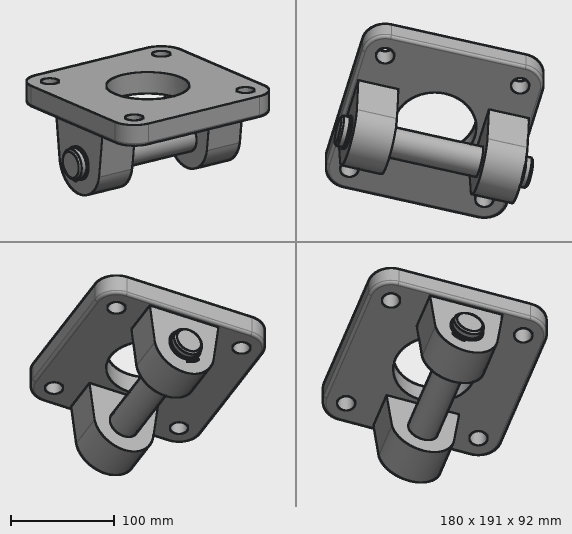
import cadquery as cq
import math

PLATE_SIDE = 180.0
PLATE_THICKNESS = 22.0
PLATE_CORNER_RADIUS = 23.0
PLATE_BOTTOM_FILLET = 3.0
BORE_DIAMETER = 80.0
BOLT_HOLE_DIAMETER = 17.5
BOLT_HOLE_SPACING = 134.5

PIN_X = 3.2
PIN_Z = -60.0
PIN_LENGTH = 191.0
PIN_DIAMETER = 30.0
PIN_RADIUS = PIN_DIAMETER / 2
PIN_CHAMFER = 2.1

LUG_SPAN = 170.0
LUG_THICKNESS = 40.0
LUG_TIP_RADIUS = 32.0
LUG_TOP_HALF_WIDTH = 36.9
LUG_SHOULDER_DROP = 6.1
LUG_TOP_Z = -PLATE_THICKNESS
LUG_SHOULDER_HALF_WIDTH = math.sqrt(LUG_TIP_RADIUS**2 - LUG_SHOULDER_DROP**2)

RING_THICKNESS = 1.5
RING_GAP = 1.3
RING_WIDTH = 1.5
RING_RADIUS = PIN_RADIUS + RING_WIDTH
RING_SLOT_WIDTH = 1.0
EAR_RADIUS = 19.3
EAR_HALF_ANGLE = 20.6
EAR_HOLE_DIAMETER = 2.0
EAR_HOLE_ORBIT = 16.8
EAR_HOLE_HALF_ANGLE = 13.5
EAR_DIRECTION = 242.0


def pin_axis_plane(y):
    """Plane across the pin axis at the given Y, with +X right, +Z up and its normal along -Y."""
    return cq.Workplane("XZ", origin=(PIN_X, y, PIN_Z))


def polar(radius, degrees):
    """Point at a radius and an angle."""
    angle = math.radians(degrees)
    return (radius * math.cos(angle), radius * math.sin(angle))


def make_plate():
    """Square plate with round corners, a rounded lower edge, a central bore and four bolt holes."""
    return (
        cq.Workplane("XY")
        .workplane(offset=-PLATE_THICKNESS)
        .rect(PLATE_SIDE, PLATE_SIDE)
        .extrude(PLATE_THICKNESS)
        .edges("|Z")
        .fillet(PLATE_CORNER_RADIUS)
        .faces("<Z")
        .edges()
        .fillet(PLATE_BOTTOM_FILLET)
        .faces(">Z")
        .workplane()
        .hole(BORE_DIAMETER)
        .faces(">Z")
        .workplane()
        .rect(BOLT_HOLE_SPACING, BOLT_HOLE_SPACING, forConstruction=True)
        .vertices()
        .hole(BOLT_HOLE_DIAMETER)
    )


def make_lug(front_y):
    """Tapered lug with a round tip and a pin hole, reaching from front_y towards +Y."""
    lug_top = LUG_TOP_Z - PIN_Z
    return (
        pin_axis_plane(front_y)
        .moveTo(-LUG_TOP_HALF_WIDTH, lug_top)
        .lineTo(-LUG_SHOULDER_HALF_WIDTH, -LUG_SHOULDER_DROP)
        .threePointArc((0, -LUG_TIP_RADIUS), (LUG_SHOULDER_HALF_WIDTH, -LUG_SHOULDER_DROP))
        .lineTo(LUG_TOP_HALF_WIDTH, lug_top)
        .close()
        .extrude(-LUG_THICKNESS)
        .cut(pin_axis_plane(front_y).circle(PIN_RADIUS).extrude(-LUG_THICKNESS))
    )


def make_bracket():
    """Plate and its two lugs in one piece."""
    bracket = make_plate()
    for front_y in (-LUG_SPAN / 2, LUG_SPAN / 2 - LUG_THICKNESS):
        bracket = bracket.union(make_lug(front_y))
    return bracket


def make_pin():
    """Plain pin with chamfered ends."""
    return (
        pin_axis_plane(PIN_LENGTH / 2)
        .circle(PIN_RADIUS)
        .extrude(PIN_LENGTH)
        .edges()
        .chamfer(PIN_CHAMFER)
    )


def make_retaining_ring(front_y):
    """Open ring with two drilled ears beside its slot, reaching from front_y towards +Y."""
    plane = pin_axis_plane(front_y)
    ear_sector = (
        plane
        .lineTo(*polar(EAR_RADIUS, EAR_DIRECTION - EAR_HALF_ANGLE))
        .threePointArc(
            polar(EAR_RADIUS, EAR_DIRECTION),
            polar(EAR_RADIUS, EAR_DIRECTION + EAR_HALF_ANGLE),
        )
        .close()
        .extrude(-RING_THICKNESS)
    )
    slot = (
        plane
        .transformed(rotate=(0, 0, EAR_DIRECTION))
        .center(EAR_RADIUS, 0)
        .rect(EAR_RADIUS, RING_SLOT_WIDTH)
        .extrude(-RING_THICKNESS)
    )
    ear_holes = (
        plane
        .pushPoints([
            polar(EAR_HOLE_ORBIT, EAR_DIRECTION + side * EAR_HOLE_HALF_ANGLE)
            for side in (-1, 1)
        ])
        .circle(EAR_HOLE_DIAMETER / 2)
        .extrude(-RING_THICKNESS)
    )
    return (
        plane
        .circle(RING_RADIUS)
        .extrude(-RING_THICKNESS)
        .union(ear_sector)
        .cut(plane.circle(PIN_RADIUS).extrude(-RING_THICKNESS))
        .cut(slot)
        .cut(ear_holes)
    )


bracket = make_bracket()
pin = make_pin()

ring_inner_y = LUG_SPAN / 2 + RING_GAP
retaining_rings = [
    make_retaining_ring(front_y)
    for front_y in (-ring_inner_y - RING_THICKNESS, ring_inner_y)
]

result = cq.Compound.makeCompound([
    bracket.val(),
    pin.val(),
    *[ring.val() for ring in retaining_rings],
])